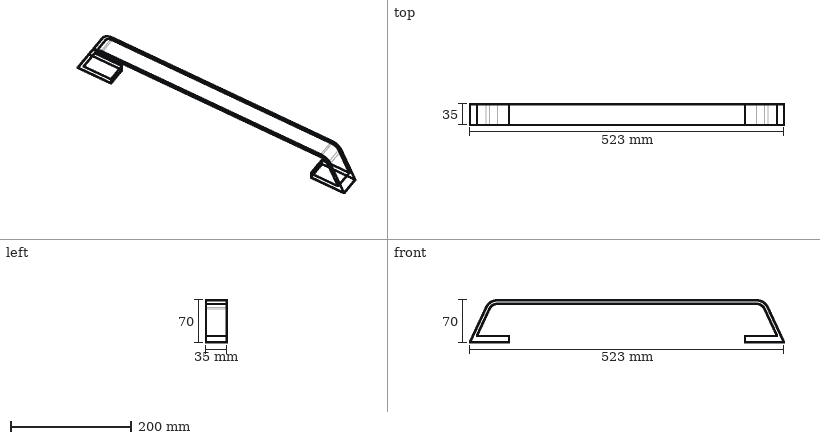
import cadquery as cq
import math

length = 523.0
width = 35.0
height = 70.0

strap_thickness = 6.5
foot_thickness = 10.5
foot_length = 65.5
leg_angle = math.radians(65)
outer_bend_radius = 21.0
inner_bend_radius = outer_bend_radius - strap_thickness

half_length = length / 2
foot_end = half_length - foot_length
outer_corner = half_length - height / math.tan(leg_angle)
leg_run = strap_thickness / math.sin(leg_angle)
inner_foot = half_length - leg_run - foot_thickness / math.tan(leg_angle)
inner_top = height - strap_thickness
inner_corner = half_length - leg_run - inner_top / math.tan(leg_angle)


def bent_prism(points, bend_radius):
    """Extrude an XZ outline about Y = 0 and round its two upper edges."""
    prism = cq.Workplane("XZ").polyline(points).close().extrude(width / 2, both=True)
    return prism.faces(">Z").edges("|Y").fillet(bend_radius)


outside = bent_prism(
    [(-half_length, 0), (half_length, 0), (outer_corner, height), (-outer_corner, height)],
    outer_bend_radius,
)

opening = bent_prism(
    [
        (-inner_foot, foot_thickness),
        (inner_foot, foot_thickness),
        (inner_corner, inner_top),
        (-inner_corner, inner_top),
    ],
    inner_bend_radius,
)

foot_gap = cq.Workplane("XY").box(
    2 * foot_end, width, foot_thickness, centered=(True, True, False)
)

result = outside.cut(opening).cut(foot_gap)